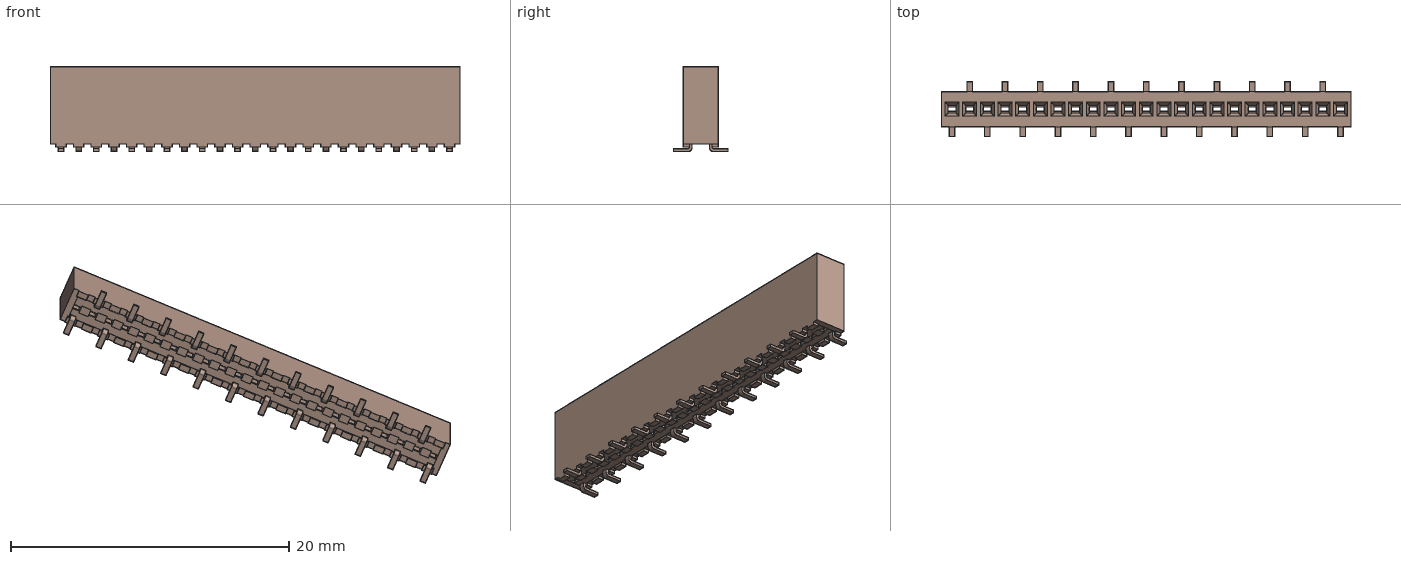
import cadquery as cq
import math

contact_count = 23
length = 29.45
end_margin = 0.77
width = 2.53
top_z = 6.1
lead_span = 3.95

bottom_z = 0.53
foot_bottom_z = 0.32
foot_length = 0.77

funnel_size = 1.0
shaft_size = 0.55
funnel_depth = 0.38

sheet = 0.2
tongue_gap = 0.3
lead_width = 0.4
leg_outer_y = 0.82
inner_bend = 0.12
outer_bend = 0.27

pitch = (length - 2 * end_margin) / (contact_count - 1)
leg_inner_y = leg_outer_y - sheet
contact_xs = [(i - (contact_count - 1) / 2) * pitch for i in range(contact_count)]
front_xs = contact_xs[0::2]
rear_xs = contact_xs[1::2]
carrier_length = contact_xs[-1] - contact_xs[0] + shaft_size


def box(x_size, y_range, z_range, x_center=0.0):
    """Block centred on x_center that spans the given Y and Z ranges."""
    y_size = y_range[1] - y_range[0]
    z_size = z_range[1] - z_range[0]
    center = (x_center, sum(y_range) / 2, sum(z_range) / 2)
    return cq.Workplane("XY").box(x_size, y_size, z_size).translate(center)


def socket_opening(x):
    """Funnel and through shaft for one mating pin."""
    taper = math.degrees(math.atan2((funnel_size - shaft_size) / 2, funnel_depth))
    funnel = (
        cq.Workplane("XY", origin=(x, 0, top_z))
        .rect(funnel_size, funnel_size)
        .extrude(-funnel_depth, taper=taper)
    )
    half = shaft_size / 2
    shaft = box(shaft_size, (-half, half), (bottom_z, top_z - funnel_depth), x)
    return funnel.union(shaft)


def lead(x):
    """Leg that drops from the carrier strip and bends outward to -Y."""
    return (
        cq.Workplane("YZ", origin=(x - lead_width / 2, 0, 0))
        .moveTo(-leg_inner_y, bottom_z)
        .lineTo(-leg_inner_y, outer_bend)
        .radiusArc((-leg_inner_y - outer_bend, 0), outer_bend)
        .lineTo(-lead_span / 2, 0)
        .lineTo(-lead_span / 2, sheet)
        .lineTo(-leg_outer_y - inner_bend, sheet)
        .radiusArc((-leg_outer_y, sheet + inner_bend), -inner_bend)
        .lineTo(-leg_outer_y, bottom_z)
        .close()
        .extrude(lead_width)
    )


def contact_comb(lead_xs):
    """Carrier strip on the -Y side, with a tongue in every shaft and its row of leads."""
    strip_z = (bottom_z, bottom_z + sheet)
    comb = box(carrier_length, (-leg_outer_y, -shaft_size / 2), strip_z)
    for x in contact_xs:
        comb = comb.union(box(shaft_size, (-shaft_size / 2, -tongue_gap / 2), strip_z, x))
    for x in lead_xs:
        comb = comb.union(lead(x))
    return comb


def make_housing(combs):
    """Housing block with standoff feet, socket openings and recesses for the combs."""
    body = box(length, (-width / 2, width / 2), (bottom_z, top_z))
    for x in contact_xs:
        body = body.union(box(foot_length, (-width / 2, -leg_outer_y), (foot_bottom_z, bottom_z), x))
        body = body.union(box(foot_length, (leg_outer_y, width / 2), (foot_bottom_z, bottom_z), x))
    for x in contact_xs:
        body = body.cut(socket_opening(x))
    for comb in combs:
        body = body.cut(comb)
    return body


front_comb = contact_comb(front_xs)
rear_comb = contact_comb(rear_xs).mirror("XZ")
housing = make_housing([front_comb, rear_comb])

bodies = [housing, front_comb, rear_comb]
result = cq.Compound.makeCompound([body.solids().val() for body in bodies])